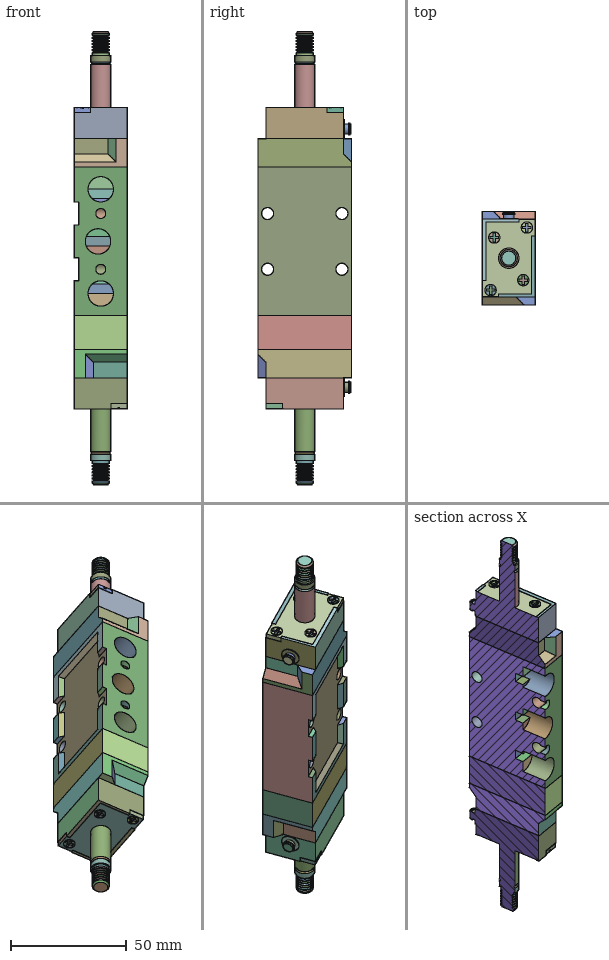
import cadquery as cq


total_length = 195.4
width = 23.0
depth = 40.5
solenoid_depth = 33.6
half_length = total_length / 2
half_width = width / 2
half_depth = depth / 2

Y_AXIS = (0, 1, 0)
Z_AXIS = (0, 0, 1)

body_top = 39.3
body_bottom = -24.8
adapter_inner = body_top
adapter_outer = 51.5
solenoid_end = 65.0
body_mid = (body_top + body_bottom) / 2

face_recess_depth = 2.0
face_recess_width = 32.5
face_recess_height = 58.5
notch_height = 9.8
cross_spacing = 24.0
mount_spacing = 32.0
mount_diameter = 5.0
pilot_diameter = 4.3
port_diameter = 11.0
port_depth = 11.7
port_spacing = 22.5
middle_port_shift = -1.2
port_slot_spacing = 20.5
port_slot_width = 4.1
port_slot_depth = 4.0

pocket_depth = (depth - solenoid_depth) / 2
pocket_edge_x = 6.6
pocket_edge_z = 41.5
slope_angle = 45.0

rim_x = 1.8
rim_y = 1.27
panel_sink = 0.2
corner_x = 7.0
corner_y = 7.2
corner_z = 2.3
screw_diameter = 4.9
screw_sink = 0.4
cross_slot_width = 1.0
cross_slot_length = 3.7
cross_slot_depth = 1.0
screw_pattern_y = -0.3
inner_screw = (6.3, -9.2)
corner_screw = (7.8, 13.5)

button_z = 55.7
button_flange_diameter = 8.0
button_flange_height = 0.4
button_neck_diameter = 4.5
button_diameter = 5.3
button_reach = 20.0
button_height = 1.2
button_chamfer = 0.5

stem_diameter = 8.8
stem_radius = stem_diameter / 2
groove_depth = 0.5
groove_width = 1.2
groove_start = 83.5
shoulder = 87.3
neck_radius = 3.7
thread_pitch = 1.33
thread_depth = 0.68
thread_crest = 0.4
thread_root = 0.4
thread_count = 6
top_ridge = 97.0
thread_flank = (thread_pitch - thread_crest - thread_root) / 2
thread_start = top_ridge - thread_crest - thread_count * thread_pitch


def block(size_y, z_low, z_high):
    """Full-width block between two levels."""
    return cq.Workplane("XY").workplane(offset=z_low).rect(width, size_y).extrude(z_high - z_low)


def half_turn(shape, axis):
    """Copy turned 180 degrees about an axis through the origin."""
    return shape.rotate((0, 0, 0), axis, 180)


def face_recess():
    """Panel recess on the -X face with sloped sides."""
    return (
        cq.Workplane("YZ")
        .workplane(offset=-half_width)
        .center(0, body_mid)
        .rect(face_recess_width, face_recess_height)
        .extrude(face_recess_depth, taper=slope_angle)
    )


def port(x, z, slot_z):
    """Blind port on the -Y face with a slot across its floor."""
    floor_y = -half_depth + port_depth
    bore = cq.Workplane("XZ", origin=(x, -half_depth, z)).circle(port_diameter / 2).extrude(-port_depth)
    slot = (
        cq.Workplane("XZ", origin=(x, floor_y, slot_z))
        .rect(port_diameter, port_slot_width)
        .extrude(-port_slot_depth)
    )
    slot_limit = (
        cq.Workplane("XZ", origin=(x, floor_y, z)).circle(port_diameter / 2).extrude(-port_slot_depth)
    )
    return bore.union(slot.intersect(slot_limit))


def make_valve_body():
    body = block(depth, body_bottom, body_top).cut(face_recess())
    for side in (-1, 1):
        level = body_mid + side * cross_spacing / 2
        notch = cq.Workplane("XY").box(2 * face_recess_depth, depth, notch_height)
        body = body.cut(notch.translate((-half_width, 0, level)))
        mounts = (
            cq.Workplane("YZ", origin=(-half_width, 0, level))
            .rarray(mount_spacing, 2, 2, 1)
            .circle(mount_diameter / 2)
            .extrude(width)
        )
        pilot_length = half_depth - mount_spacing / 2
        pilot = (
            cq.Workplane("XZ", origin=(0, -half_depth, level))
            .circle(pilot_diameter / 2)
            .extrude(-pilot_length)
        )
        body = body.cut(mounts).cut(pilot)
    for step in (-1, 0, 1):
        x = middle_port_shift if step == 0 else 0
        body = body.cut(port(x, body_mid + step * port_spacing, body_mid + step * port_slot_spacing))
    return body


def make_spacer():
    return block(depth, -adapter_inner, body_bottom)


def make_adapter():
    """Upper adapter, with a sloped pocket at two opposite corners."""
    pocket = (
        cq.Workplane("XZ", origin=(0, -half_depth, 0))
        .moveTo(pocket_edge_x, pocket_edge_z)
        .lineTo(pocket_edge_x, 2 * adapter_outer)
        .lineTo(-width, 2 * adapter_outer)
        .lineTo(-width, pocket_edge_z)
        .close()
        .extrude(-pocket_depth, taper=slope_angle)
    )
    adapter = block(depth, adapter_inner, adapter_outer)
    return adapter.cut(pocket).cut(half_turn(pocket, Z_AXIS))


def sunken_corner():
    """Shallow L-shaped recess wrapping the (-X, -Y) corner of the solenoid's end."""
    sides = (
        cq.Workplane("XY")
        .box(corner_x, corner_y, corner_z, centered=False)
        .translate((-half_width, -solenoid_depth / 2, solenoid_end - corner_z))
    )
    core = (
        cq.Workplane("XY")
        .box(corner_x, corner_y, corner_z - panel_sink, centered=False)
        .translate((-half_width + panel_sink, -solenoid_depth / 2 + panel_sink, solenoid_end - corner_z))
    )
    return sides.cut(core)


def screw_recess(x, y):
    """Sunken screw head with a cross slot."""
    top = solenoid_end - panel_sink
    head = cq.Workplane("XY", origin=(x, y, top - screw_sink)).circle(screw_diameter / 2)
    recess = head.extrude(screw_sink)
    for size in ((cross_slot_length, cross_slot_width), (cross_slot_width, cross_slot_length)):
        bar = cq.Workplane("XY", origin=(x, y, top - screw_sink)).rect(*size).extrude(-cross_slot_depth)
        recess = recess.union(bar)
    return recess


def stem():
    """Turned stem with a V groove, a shoulder and ring-shaped thread ridges."""
    base = solenoid_end - panel_sink
    root_radius = neck_radius - thread_depth
    profile = [
        (0, base),
        (stem_radius, base),
        (stem_radius, groove_start),
        (stem_radius - groove_depth, groove_start + groove_width / 2),
        (stem_radius, groove_start + groove_width),
        (stem_radius, shoulder),
        (neck_radius, shoulder),
    ]
    for i in range(thread_count):
        z = thread_start + i * thread_pitch
        profile += [
            (neck_radius, z),
            (root_radius, z + thread_flank),
            (root_radius, z + thread_flank + thread_root),
            (neck_radius, z + thread_pitch - thread_crest),
        ]
    profile += [(neck_radius, top_ridge), (root_radius, half_length), (0, half_length)]
    return cq.Workplane("XZ").polyline(profile).close().revolve(360, (0, 0, 0), (0, 1, 0))


def disc(y, diameter, height):
    """Disc of the override button growing toward +Y."""
    return cq.Workplane("XZ", origin=(0, y, button_z)).circle(diameter / 2).extrude(-height)


def override_button():
    """Flanged button on the +Y side."""
    base_y = solenoid_depth / 2
    flange = disc(base_y, button_flange_diameter, button_flange_height)
    neck = disc(base_y, button_neck_diameter, button_reach - base_y)
    head = disc(button_reach - button_height, button_diameter, button_height).faces(">Y")
    return flange.union(neck).union(head.chamfer(button_chamfer))


def make_solenoid():
    """Upper solenoid: coil block, stem, end screws and override button."""
    panel = (
        cq.Workplane("XY")
        .workplane(offset=solenoid_end - panel_sink)
        .rect(width - 2 * rim_x, solenoid_depth - 2 * rim_y)
        .extrude(panel_sink)
    )
    corner = sunken_corner()
    solenoid = block(solenoid_depth, adapter_outer, solenoid_end)
    solenoid = solenoid.cut(panel).cut(corner).cut(half_turn(corner, Z_AXIS))
    for x, y in (inner_screw, corner_screw):
        for side in (-1, 1):
            solenoid = solenoid.cut(screw_recess(side * x, side * y + screw_pattern_y))
    return solenoid.union(stem()).union(override_button())


valve_body = make_valve_body()
spacer = make_spacer()
upper_adapter = make_adapter()
upper_solenoid = make_solenoid()
adapters = [upper_adapter, half_turn(upper_adapter, Y_AXIS)]
solenoids = [upper_solenoid, half_turn(upper_solenoid, Y_AXIS)]

result = cq.Compound.makeCompound(
    [body.val() for body in [valve_body, spacer, *adapters, *solenoids]]
)